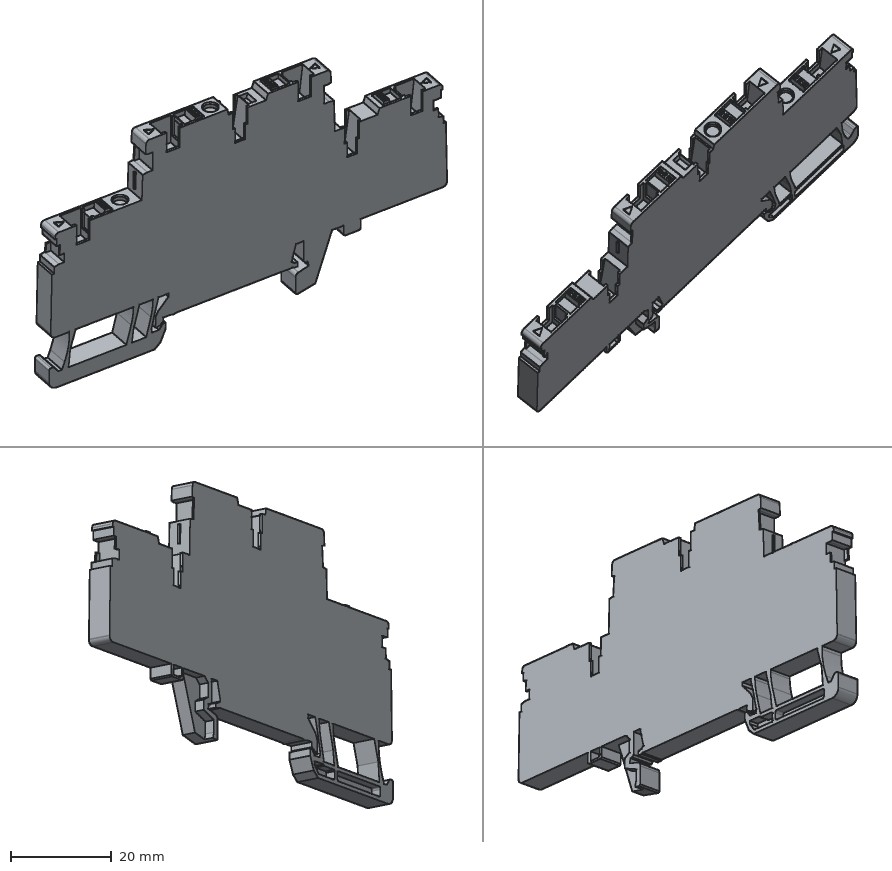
import cadquery as cq
import math

LENGTH = 95.0
WIDTH = 5.1
NEAR_SIDE = -WIDTH / 2

BODY_BOTTOM = 12.3
LOWER_TOP = 37.6
UPPER_TOP = 51.7
DECK_STEP = 1.4
LOWER_LEDGE = LOWER_TOP - DECK_STEP
UPPER_LEDGE = UPPER_TOP - DECK_STEP
NOTCH_DEPTH = 7.5
SHOULDER_DEPTH = 4.0
LOWER_MIRROR = 94.6
UPPER_MIRROR = 99.6

SIDE_WALL = 0.6
WELL_FAR_SIDE = 2.0
WELL_WIDTH = WELL_FAR_SIDE - NEAR_SIDE - SIDE_WALL
WELL_CENTER = WELL_FAR_SIDE - WELL_WIDTH / 2

ENTRY_SLOPE = 0.8
ENTRY_OPEN_DEPTH = 4.75
ENTRY_DEPTH = 6.65
ENTRY_STUB = 1.0
TONGUE_LENGTH = 0.5
TONGUE_WIDTH = 3.0
BUTTON_WELL_DEPTH = 1.1
BUTTON_POCKET = 0.7
BUTTON_POCKET_DEPTH = 0.8
BUTTON_POCKET_PITCH = 1.1
BUTTON_LEAN = 0.2
BUTTON_CLEARANCE = 0.2

CHANNEL_MARGIN = 0.7
CHANNEL_DEPTH = 8.1
MARKER_LENGTH = 1.8
MARKER_WIDTH = 1.7
MARKER_DEPTH = 0.2
MARKER_OFFSET = 2.2
TEST_HOLE_MOUTH = 3.4
TEST_HOLE = 2.85
TEST_HOLE_DEPTH = 1.1
WINDOW_LENGTH = 1.9
WINDOW_WIDTH = 3.2
WINDOW_DEPTH = 0.95
WINDOW_TAPER = 20.0
WINDOW_START = 44.9

RIB_FACE = 27.0
RIB_WIDTH = 0.5
RIB_HEIGHT = 0.4
RIB_ROOT = 0.3
RIB_BOTTOM = 38.9
RIB_TOP = 42.9
NECK_SKIN = 0.4
NECK_GROOVE = 1.2
LOWER_NECK = 2.0
UPPER_NECK = 28.1
LOWER_NECK_BOTTOM = 29.8
LOWER_NECK_MIDDLE = 31.9
LOWER_NECK_TOP = 34.3
UPPER_NECK_BOTTOM = 43.9
UPPER_NECK_TOP = 48.2
FOOT_RECESS = 2.1

TERMINALS = [
    (LOWER_TOP, 4.8, 9.6, 10.5, 15.0, 13.1, 14.8, 38.2),
    (UPPER_TOP, 31.4, 36.5, 37.2, 41.6, 39.7, 41.6, 52.0),
    (UPPER_TOP, 67.9, 62.9, 62.3, 57.55, 59.7, 57.8, 52.0),
    (LOWER_TOP, 89.4, 84.3, 83.9, 79.4, 81.4, 79.8, 38.2),
]
TEST_HOLES = [(54.8, UPPER_TOP), (76.4, LOWER_TOP)]
LOWER_NOTCH = (LOWER_LEDGE, 21.0, 21.5, 23.8, 24.5)
UPPER_NOTCH = (UPPER_LEDGE, 47.6, 48.15, 50.6, 51.1)


def to_y(position):
    return LENGTH / 2 - position


def side_plane(x):
    """Plane at the given X whose local axes are +Y and +Z; extrudes toward +X."""
    return cq.Workplane("YZ", origin=(x, 0, 0))


def rounded_corner(before, corner, after):
    """Start, middle and end of the tangent arc at a corner (position, Z, radius)."""
    apex = cq.Vector(to_y(corner[0]), corner[1])
    toward_before = (cq.Vector(to_y(before[0]), before[1]) - apex).normalized()
    toward_after = (cq.Vector(to_y(after[0]), after[1]) - apex).normalized()
    radius = corner[2]
    half_angle = toward_before.getAngle(toward_after) / 2
    tangent_length = radius / math.tan(half_angle)
    sagitta_length = radius / math.sin(half_angle) - radius
    bisector = (toward_before + toward_after).normalized()
    return [
        (point.x, point.y)
        for point in (
            apex + toward_before * tangent_length,
            apex + bisector * sagitta_length,
            apex + toward_after * tangent_length,
        )
    ]


def plate(points, x=NEAR_SIDE, thickness=WIDTH):
    """Extruded outline; a corner given with a third value is rounded to that radius.

    The first corner is always sharp.
    """
    path = side_plane(x).moveTo(to_y(points[0][0]), points[0][1])
    for index, corner in enumerate(points[1:], start=1):
        if len(corner) == 2:
            path = path.lineTo(to_y(corner[0]), corner[1])
        else:
            following = points[(index + 1) % len(points)]
            start, middle, end = rounded_corner(points[index - 1], corner, following)
            path = path.lineTo(*start).threePointArc(middle, end)
    return path.close().extrude(thickness)


def block(x_center, x_size, start, end, bottom, top):
    size_y = abs(end - start)
    return (
        cq.Workplane("XY")
        .box(x_size, size_y, top - bottom)
        .translate((x_center, to_y((start + end) / 2), (top + bottom) / 2))
    )


def mirrored(points, mirror_sum):
    return [(mirror_sum - point[0], *point[1:]) for point in reversed(points)]


def notch_outline(notch):
    ledge, mouth_start, bottom_start, bottom_end, mouth_end = notch
    shoulder = ledge - SHOULDER_DEPTH
    bottom = ledge - NOTCH_DEPTH
    return [
        (mouth_start, ledge), (mouth_start, shoulder), (bottom_start, shoulder),
        (bottom_start, bottom), (bottom_end, bottom), (bottom_end, shoulder),
        (mouth_end, shoulder), (mouth_end, ledge),
    ]


def housing():
    lower_end = [
        (0, BODY_BOTTOM, 1.1), (0, 13.6), (0.3, 27.9), (0.9, 27.9), (0.9, 29.5), (2.0, 29.8),
        (2.3, 34.3), (1.4, 34.4), (1.4, 36.2), (1.0, 36.2), (1.1, LOWER_TOP, 0.9),
    ]
    upper_end = [
        (26.8, LOWER_LEDGE), (27.0, 43.7), (28.1, 43.9), (28.4, 48.2), (27.6, 48.4),
        (27.8, UPPER_TOP, 0.9),
    ]
    far_upper_end = mirrored(upper_end, UPPER_MIRROR)
    far_upper_end[-1] = (far_upper_end[-1][0], LOWER_TOP)
    outline = (
        [(LENGTH / 2, BODY_BOTTOM)]
        + lower_end
        + [(16.1, LOWER_TOP), (16.6, LOWER_LEDGE)]
        + notch_outline(LOWER_NOTCH)
        + upper_end
        + [(42.7, UPPER_TOP), (43.2, UPPER_LEDGE)]
        + notch_outline(UPPER_NOTCH)
        + [(52.1, UPPER_LEDGE), (52.4, UPPER_TOP)]
        + far_upper_end
        + mirrored(lower_end, LOWER_MIRROR)
    )
    return plate(outline)


def rail_seat():
    """Lower middle of the housing, with a lip and a hook that grip the rail."""
    return plate([
        (36.1, BODY_BOTTOM), (37.1, 8.4), (36.5, 7.9), (35.6, 7.7), (35.6, 6.7), (36.6, 6.7),
        (36.85, 6.9), (64.6, 6.9), (65.3, 6.7), (66.0, 6.9), (67.7, 6.9), (67.7, 5.9), (68.8, 5.2),
        (69.6, 5.2), (69.5, 8.0), (68.95, 9.0), (66.5, 11.6), (66.5, BODY_BOTTOM),
    ])


def end_ribs():
    """Slender upright rib on each end face of the raised deck."""
    outer = RIB_FACE - RIB_HEIGHT
    inner = RIB_FACE + RIB_ROOT
    ribs = block(0, RIB_WIDTH, outer, inner, RIB_BOTTOM, RIB_TOP)
    return ribs.union(
        block(0, RIB_WIDTH, UPPER_MIRROR - outer, UPPER_MIRROR - inner, RIB_BOTTOM, RIB_TOP))


def neck_grooves():
    """Grooves in the necks under the deck ends, each leaving a thin skin on one side."""
    near_skin = NECK_SKIN / 2
    far_skin = -NECK_SKIN / 2
    width = WIDTH - NECK_SKIN
    lower_spans = [
        (far_skin, near_skin, LOWER_NECK_BOTTOM, LOWER_NECK_MIDDLE),
        (near_skin, far_skin, LOWER_NECK_MIDDLE, LOWER_NECK_TOP),
    ]
    outer = LOWER_NECK
    inner = outer + NECK_GROOVE
    grooves = cq.Workplane("XY")
    for first_x, last_x, bottom, top in lower_spans:
        grooves = grooves.union(block(first_x, width, outer, inner, bottom, top))
        grooves = grooves.union(
            block(last_x, width, LOWER_MIRROR - outer, LOWER_MIRROR - inner, bottom, top))
    outer = UPPER_NECK
    inner = outer + NECK_GROOVE
    for start, end in ((outer, inner), (UPPER_MIRROR - outer, UPPER_MIRROR - inner)):
        grooves = grooves.union(block(near_skin, width, start, end, UPPER_NECK_BOTTOM, UPPER_NECK_TOP))
    return grooves


def wire_entry(top, outer, inner):
    """Deep pocket with a leaning outer wall, opening upward and on the far side."""
    inward = 0.95 if inner > outer else -0.95
    foot = outer + inward * ENTRY_SLOPE
    wall_x = NEAR_SIDE + SIDE_WALL
    floor = top - ENTRY_DEPTH
    shaft = plate([(outer, top), (foot, floor), (inner, floor), (inner, top)], wall_x, WELL_WIDTH)
    opening_width = WIDTH - SIDE_WALL
    opening = block(
        wall_x + opening_width / 2, opening_width,
        outer + inward * ENTRY_STUB, inner - inward * ENTRY_STUB, top - ENTRY_OPEN_DEPTH, top,
    )
    tongue_end = inner + inward * TONGUE_LENGTH
    tongue = block(WELL_CENTER, TONGUE_WIDTH, inner, tongue_end, top - ENTRY_OPEN_DEPTH, top)
    return opening.union(shaft).union(tongue)


def button(start, end, floor, top):
    low, high = sorted((start, end))
    width = WELL_WIDTH - 2 * BUTTON_CLEARANCE
    body = plate(
        [(low, floor), (low + BUTTON_LEAN, top), (high - BUTTON_LEAN, top), (high, floor)],
        x=WELL_CENTER - width / 2, thickness=width,
    )
    middle = (low + high) / 2
    for step in (-1, 0, 1):
        body = body.cut(block(
            WELL_CENTER + step * BUTTON_POCKET_PITCH, BUTTON_POCKET,
            middle - BUTTON_POCKET / 2, middle + BUTTON_POCKET / 2, top - BUTTON_POCKET_DEPTH, top,
        ))
    return body


def marker(top, outer, inner):
    """Engraved arrow that points at the wire entry."""
    inward = 1 if inner > outer else -1
    base = outer - inward * MARKER_OFFSET
    tip = base + inward * MARKER_LENGTH
    return (
        cq.Workplane("XY", origin=(0, 0, top - MARKER_DEPTH))
        .polyline([(-MARKER_WIDTH / 2, to_y(base)), (MARKER_WIDTH / 2, to_y(base)), (0, to_y(tip))])
        .close()
        .extrude(MARKER_DEPTH)
    )


def test_hole(position, top):
    chamfer = (TEST_HOLE_MOUTH - TEST_HOLE) / 2
    bore = cq.Workplane("XY").circle(TEST_HOLE / 2).extrude(-TEST_HOLE_DEPTH)
    mouth = cq.Workplane("XY").circle(TEST_HOLE_MOUTH / 2).extrude(-chamfer, taper=45)
    return bore.union(mouth).translate((0, to_y(position), top))


def jumper_channel(notch):
    """Tapered contact channel between the side walls of a jumper notch."""
    ledge, mouth_start, bottom_start, bottom_end, mouth_end = notch
    bottom = ledge - CHANNEL_DEPTH
    return plate(
        [
            (mouth_start - CHANNEL_MARGIN, ledge), (bottom_start, bottom),
            (bottom_end, bottom), (mouth_end + CHANNEL_MARGIN, ledge),
        ],
        x=NEAR_SIDE + SIDE_WALL, thickness=WELL_WIDTH,
    )


def marker_window():
    """Small pocket with leaning walls in the ledge of the raised deck."""
    return (
        cq.Workplane("XY", origin=(0, to_y(WINDOW_START + WINDOW_LENGTH / 2), UPPER_LEDGE))
        .rect(WINDOW_WIDTH, WINDOW_LENGTH)
        .extrude(-WINDOW_DEPTH, taper=WINDOW_TAPER)
    )


def snap_foot():
    """Sprung foot: a full-width rim with a web set back from the side."""
    foot = plate([
        (27.4, BODY_BOTTOM), (31.4, 0.95), (35.8, 0.0), (36.2, 0.3), (36.2, 5.0, 0.95),
        (33.05, 5.9), (33.2, 6.9), (33.8, 6.9), (34.2, 7.4), (34.2, BODY_BOTTOM),
    ])
    web_recess = plate(
        [
            (26.6, BODY_BOTTOM), (31.8, BODY_BOTTOM), (33.0, 11.2), (33.0, 8.3), (31.5, 7.4),
            (31.5, 5.3), (34.95, 4.0), (34.95, 1.5), (34.6, 0), (26.6, 0),
        ],
        thickness=FOOT_RECESS,
    )
    return foot.cut(web_recess)


def peg():
    outer = plate([(20.6, BODY_BOTTOM), (20.6, 10.1), (21.0, 9.8), (24.3, 9.8), (24.7, 10.1),
                   (24.7, BODY_BOTTOM)])
    inner = plate([(21.5, BODY_BOTTOM), (21.5, 10.3), (23.7, 10.3), (24.2, 10.7), (24.2, BODY_BOTTOM)],
                  thickness=FOOT_RECESS)
    return outer.cut(inner)


def rail_foot():
    """Fixed foot: a beam hung from the housing on three leaning arms."""
    beam_top = 3.8
    beam = plate([
        (80.7, 0), (LENGTH, 0, 1.8), (LENGTH, 5.2, 0.5), (93.8, 5.2, 0.5), (92.8, beam_top, 0.4),
        (92.1, beam_top), (71.8, beam_top), (70.6, 5.2), (70.4, 4.4), (68.8, 4.4), (67.8, 5.5),
        (67.1, 5.5), (67.1, 4.0), (68.4, 1.2), (69.8, 0),
    ])
    arms = [
        [(68.9, BODY_BOTTOM), (69.8, 8.7), (70.6, 5.2), (70.6, 3.8), (71.8, 3.8), (70.3, 10.0, 17.1),
         (70.2, BODY_BOTTOM)],
        [(73.4, BODY_BOTTOM), (74.8, 6.9), (75.2, 3.8), (76.5, 3.8), (74.9, 10.0, 17.1),
         (74.8, BODY_BOTTOM)],
        [(88.6, BODY_BOTTOM), (89.9, 8.0), (90.3, 3.8), (91.9, 3.8), (90.1, 8.45, 17.1),
         (90.1, BODY_BOTTOM)],
    ]
    for arm in arms:
        beam = beam.union(plate(arm))
    short_recess = plate(
        [(68.7, 3.2), (71.6, 3.2), (71.8, 2.9), (75.1, 2.9), (75.4, 2.7), (75.4, 1.1), (75.1, 0.9),
         (70.0, 0.9), (68.7, 2.6)],
        thickness=FOOT_RECESS,
    )
    long_recess = block(NEAR_SIDE + FOOT_RECESS / 2, FOOT_RECESS, 76.3, 90.7, 0.9, 2.9)
    return beam.cut(short_recess).cut(long_recess.edges("|X").fillet(0.5))


part = housing().union(rail_seat()).union(end_ribs()).cut(neck_grooves())

for deck_top, entry_outer, entry_inner, well_start, well_end, *button_span, button_top in TERMINALS:
    well_floor = deck_top - BUTTON_WELL_DEPTH
    part = part.cut(wire_entry(deck_top, entry_outer, entry_inner))
    part = part.cut(marker(deck_top, entry_outer, entry_inner))
    part = part.cut(block(WELL_CENTER, WELL_WIDTH, well_start, well_end, well_floor, deck_top))
    part = part.union(button(*button_span, well_floor, button_top))

for hole_position, deck_top in TEST_HOLES:
    part = part.cut(test_hole(hole_position, deck_top))

for jumper_notch in (LOWER_NOTCH, UPPER_NOTCH):
    part = part.cut(jumper_channel(jumper_notch))

part = part.cut(marker_window())

result = part.union(snap_foot()).union(peg()).union(rail_foot())